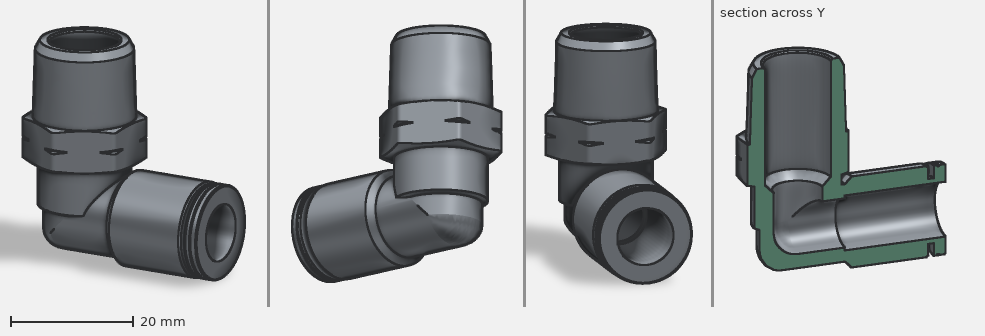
import cadquery as cq
import math


elbow_radius = 13.6 / 2
elbow_corner = 2.78

collar_radius = 15.4 / 2
collar_bottom = 0.75
collar_chamfer_height = 0.45
hex_bottom = 8.45
hex_top = 16.0
thread_base_radius = 8.5
thread_tip_radius = 8.15
thread_end_radius = 7.33
thread_chamfer_height = 1.48
stem_top = 29.0

hex_flats = 17.87
hex_corner_fillet = 1.05
hex_chamfer_slope = math.tan(math.radians(15))
notch_height = 12.4
notch_width = 0.65
notch_root_width = 0.15
notch_root_radius = 9.35

socket_radius = 16.0 / 2
socket_start = 8.25
socket_end = 22.95
socket_end_chamfer = 0.35
neck_radius = 11.45 / 2
ring_radius = 15.8 / 2
ring_start = 23.95
ring_end = 34.93 - hex_flats / 2
ring_groove_radius = 15.4 / 2
ring_groove_position = 24.7
ring_groove_width = 0.2
ring_end_chamfer = 0.2

passage_radius = 8.5 / 2
stem_bore_radius = 11.5 / 2
stem_bore_mouth_radius = 6.05
tube_bore_radius = 9.5 / 2


def turned_on_z(profile):
    """Revolve a closed (radius, height) profile about Z."""
    return cq.Workplane("XZ").polyline(profile).close().revolve(360, (0, 0), (0, 1))


def turned_on_x(profile):
    """Revolve a closed (distance, radius) profile about X."""
    return cq.Workplane("XZ").polyline(profile).close().revolve(360, (0, 0), (1, 0))


def rod_z(radius, start, end):
    return cq.Workplane("XY", origin=(0, 0, start)).circle(radius).extrude(end - start)


def rod_x(radius, start, end):
    return cq.Workplane("YZ", origin=(start, 0, 0)).circle(radius).extrude(end - start)


def make_elbow():
    """Mitred joint of two equal rods with its outer corner rounded."""
    upright = rod_z(elbow_radius, 0, hex_bottom)
    level = rod_x(elbow_radius, 0, socket_start)
    mitre = rod_z(elbow_radius, -elbow_radius, elbow_radius).intersect(
        rod_x(elbow_radius, -elbow_radius, elbow_radius)
    )
    corner_size = 2 * elbow_radius
    sharp_corner = (
        cq.Workplane("XY", origin=(-elbow_corner, 0, -elbow_corner))
        .box(corner_size, corner_size, corner_size, centered=(False, True, False))
        .rotate((-elbow_corner, 0, -elbow_corner), (-elbow_corner, 1, -elbow_corner), 180)
    )
    half_chord = math.sqrt(elbow_radius**2 - elbow_corner**2)
    rounded_corner = (
        cq.Workplane("YZ", origin=(-elbow_corner, 0, 0))
        .moveTo(-half_chord, -elbow_corner)
        .threePointArc((0, -elbow_radius), (half_chord, -elbow_corner))
        .close()
        .revolve(90, (-0.37, -elbow_corner), (0.37, -elbow_corner))
    )
    return mitre.cut(sharp_corner).union(rounded_corner).union(upright).union(level)


def make_stem():
    """Chamfered collar below the nut and tapered thread body above it."""
    return turned_on_z([
        (0, collar_bottom),
        (elbow_radius, collar_bottom),
        (collar_radius, collar_bottom + collar_chamfer_height),
        (collar_radius, hex_top),
        (thread_base_radius, hex_top),
        (thread_tip_radius, stem_top - thread_chamfer_height),
        (thread_end_radius, stem_top),
        (0, stem_top),
    ])


def make_hexagon():
    """Hexagon with rounded corners, coned ends and a tapered notch across each corner."""
    flat_radius = hex_flats / 2
    corner_radius = flat_radius / math.cos(math.pi / 6)
    hexagon = (
        cq.Workplane("XY", origin=(0, 0, hex_bottom))
        .polygon(6, 2 * corner_radius)
        .extrude(hex_top - hex_bottom)
        .rotate((0, 0, 0), (0, 0, 1), 30)
        .edges("|Z")
        .fillet(hex_corner_fillet)
    )
    bottom_rise = (corner_radius - collar_radius) * hex_chamfer_slope
    top_drop = (corner_radius - flat_radius) * hex_chamfer_slope
    envelope = turned_on_z([
        (0, hex_bottom),
        (collar_radius, hex_bottom),
        (corner_radius, hex_bottom + bottom_rise),
        (corner_radius, hex_top - top_drop),
        (flat_radius, hex_top),
        (0, hex_top),
    ])
    rounded_corner_radius = corner_radius - hex_corner_fillet * (1 / math.cos(math.pi / 6) - 1)
    notch_slope = (notch_width - notch_root_width) / 2 / (rounded_corner_radius - notch_root_radius)
    root_half_width = notch_root_width / 2
    mouth_half_width = root_half_width + (corner_radius - notch_root_radius) * notch_slope
    notch = turned_on_z([
        (notch_root_radius, notch_height - root_half_width),
        (corner_radius, notch_height - mouth_half_width),
        (corner_radius, notch_height + mouth_half_width),
        (notch_root_radius, notch_height + root_half_width),
    ])
    return hexagon.intersect(envelope).cut(notch)


def make_socket():
    """Socket body, narrow neck and grooved release ring."""
    cone_length = socket_radius - elbow_radius
    groove_start = ring_groove_position - ring_groove_width / 2
    groove_end = ring_groove_position + ring_groove_width / 2
    return turned_on_x([
        (socket_start, 0),
        (socket_start, elbow_radius),
        (socket_start + cone_length, socket_radius),
        (socket_end - socket_end_chamfer, socket_radius),
        (socket_end, socket_radius - socket_end_chamfer),
        (socket_end, neck_radius),
        (ring_start, neck_radius),
        (ring_start, ring_radius),
        (groove_start, ring_radius),
        (groove_start, ring_groove_radius),
        (groove_end, ring_groove_radius),
        (groove_end, ring_radius),
        (ring_end - ring_end_chamfer, ring_radius),
        (ring_end, ring_radius - ring_end_chamfer),
        (ring_end, 0),
    ])


def make_bores():
    """Passage with a spherical bend, a stepped stem bore and a tube bore."""
    bore_step = stem_bore_radius - passage_radius
    mouth_chamfer = stem_bore_mouth_radius - stem_bore_radius
    stem_bore = turned_on_z([
        (0, 0),
        (passage_radius, 0),
        (passage_radius, hex_bottom - bore_step),
        (stem_bore_radius, hex_bottom),
        (stem_bore_radius, stem_top - mouth_chamfer),
        (stem_bore_mouth_radius, stem_top),
        (0, stem_top),
    ])
    bend = cq.Workplane("XY").sphere(passage_radius)
    passage = rod_x(passage_radius, 0, socket_start)
    tube_bore = rod_x(tube_bore_radius, socket_start, ring_end)
    return stem_bore.union(bend).union(passage).union(tube_bore)


body = make_elbow().union(make_stem()).union(make_hexagon()).union(make_socket())
result = body.cut(make_bores())